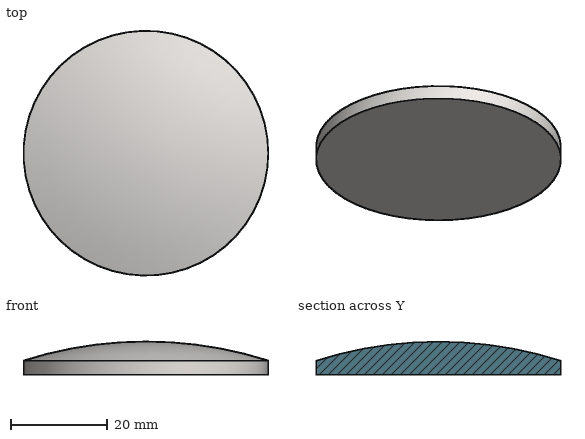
import cadquery as cq

diameter = 50.8
total_height = 6.95
rim_height = 3.0

radius = diameter / 2
dome_height = total_height - rim_height
sphere_radius = (radius**2 + dome_height**2) / (2 * dome_height)
sphere_center_z = total_height - sphere_radius

blank = cq.Workplane("XY").circle(radius).extrude(total_height)
sphere = cq.Workplane("XY").sphere(sphere_radius).translate((0, 0, sphere_center_z))
result = blank.intersect(sphere)